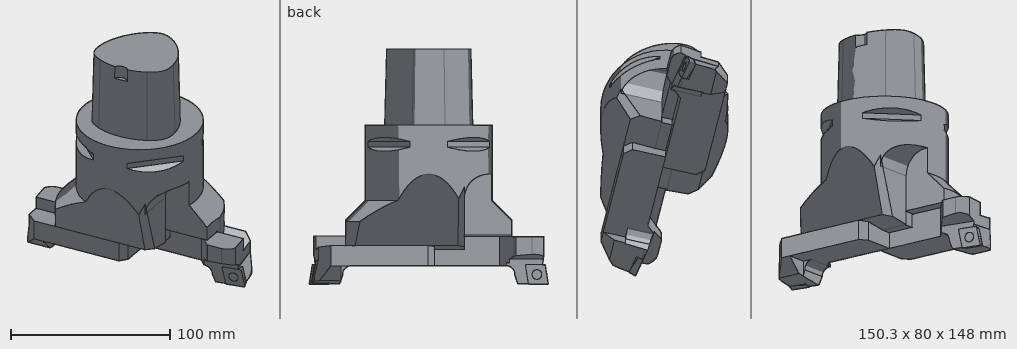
import cadquery as cq
import math


SHANK_HEIGHT = 48.0
SHANK_BASE_RADIUS = 27.7
SHANK_TOP_RADIUS = 26.5
LOBE_HEIGHT = 2.2
LOBE_HALF_ANGLE = 35
KEYWAY_RADIUS = 5.2
KEYWAY_DEPTH = 8.1
KEYWAY_OFFSET = 26.8

FLANGE_DIAMETER = 80.0
FLANGE_RADIUS = FLANGE_DIAMETER / 2
CONE_TOP = -47.2
SKIRT_RADIUS = 53.1
SKIRT_TOP = CONE_TOP - (SKIRT_RADIUS - FLANGE_RADIUS)
SKIRT_FLAT = 52.2
SIDE_TOP = -30.7
BODY_HALF_WIDTH = 26.2

GROOVE_DISTANCE = 35.4
GROOVE_MIDDLE = -12.0
GROOVE_FLOOR_WIDTH = 3.6
GROOVE_MOUTH_WIDTH = 8.7
GROOVE_COUNT = 4

POCKET_FLOOR = 22.3
POCKET_WALL = 6.9
POCKET_RADIUS = 15.3
POCKET_CHAMFER_WIDTH = 4.0
POCKET_CHAMFER_DEPTH = 5.0
POCKET_CHAMFER_SLOPE = 0.33

JOINT_EDGE = -75.6
JOINT_MIDDLE = -78.0
NOTCH_TOP = -69.0
NOTCH_END = 21.6

BAR_BOTTOM = -88.3
BAR_END = 3.6
BAR_END_CHAMFER_X = 4.0
BAR_END_CHAMFER_Y = 4.8
HEAD_SIDE = 11.4
HEAD_CORNER_LENGTH = 7.3
HEAD_CORNER_DEPTH = 5.0
HEAD_SHOULDER_START_X = -44.4
HEAD_SHOULDER_X = -54.9
HEAD_BEVEL_X = 1.2
HEAD_BEVEL_Y = 0.9
HEAD_OUTER_X = -72.3
HEAD_REAR_X = -69.3
HEAD_REAR_Y = -18.5
REAR_CORNER_X = -61.5
LEG_TOP = -85.8
LEG_TOP_SLOPE = -0.09
LEG_BOTTOM = -99.6
LEG_REAR_INNER_X = -55.0
LEG_FOOT_X = -74.1
LEG_FOOT_REAR_X = -72.9
LEG_SWEEP_RADIUS = 73.5
HEEL_WIDTH = 19.6
HEEL_Z = -97.6
ARCH_START_X = -48.7
ARCH_END_X = -54.0
ARCH_END_Z = -94.2
ARCH_FOOT_X = -56.0
ARCH_REAR_Y = -12.0
GULLET_TOP = -84.0
GULLET_ROOF_SLOPE = 0.44

INSERT_THICKNESS = 4.6
INSERT_CLEARANCE = 7
INSERT_TILT = 5
INSERT_YAW = 10
INSERT_BOTTOM = -100.0
INSERT_TIP_X = -75.5
INSERT_SIDE = 12.7
INSERT_CORNER = 80
INSERT_NOSE_RADIUS = 0.7
SCREW_DIAMETER = 6.1

CARTRIDGES = [(0, -70.0, 2.8), (180, -69.5, 0.6)]

FAR = 90.0


def turned(body, angle):
    return body.rotate((0, 0, 0), (0, 0, 1), angle)


def prism_along_x(points, x_min, x_max):
    """Prism whose section is given as (y, z) points."""
    return cq.Workplane("YZ", origin=(x_min, 0, 0)).polyline(points).close().extrude(x_max - x_min)


def block(x_min, x_max, y_min, y_max, z_min, z_max):
    size = (x_max - x_min, y_max - y_min, z_max - z_min)
    return cq.Workplane("XY").box(*size, centered=False).translate((x_min, y_min, z_min))


def polygon_point(radius, angle):
    """Point of the three-lobed curve where the outward normal has the given angle in degrees."""
    normal = math.radians(angle)
    phase = 3 * math.radians(angle - 90)
    support = radius + LOBE_HEIGHT * math.cos(phase)
    slope = -3 * LOBE_HEIGHT * math.sin(phase)
    return (
        support * math.cos(normal) - slope * math.sin(normal),
        support * math.sin(normal) + slope * math.cos(normal),
    )


def polygon_wire(radius, height):
    """Three-lobed outline, split where each lobe meets the flatter stretch beside it."""
    spline_steps = 8
    edges = []
    for lobe in (90, 210, 330):
        breaks = (lobe - LOBE_HALF_ANGLE, lobe + LOBE_HALF_ANGLE, lobe + 120 - LOBE_HALF_ANGLE)
        for start, end in zip(breaks, breaks[1:]):
            angles = [start + (end - start) * i / spline_steps for i in range(spline_steps + 1)]
            points = [cq.Vector(*polygon_point(radius, a), height) for a in angles]
            edges.append(cq.Edge.makeSpline(points))
    return cq.Wire.assembleEdges(edges)


def make_shank():
    base = polygon_wire(SHANK_BASE_RADIUS, 0)
    top = polygon_wire(SHANK_TOP_RADIUS, SHANK_HEIGHT)
    shank = cq.Workplane(cq.Solid.makeLoft([base, top], True))
    keyway = (
        cq.Workplane("XY", origin=(0, -KEYWAY_OFFSET, SHANK_HEIGHT - KEYWAY_DEPTH))
        .circle(KEYWAY_RADIUS)
        .extrude(FAR)
    )
    return shank.cut(keyway)


def groove_cutter():
    floor = GROOVE_FLOOR_WIDTH / 2
    mouth = GROOVE_MOUTH_WIDTH / 2
    return (
        cq.Workplane("XZ", origin=(0, FAR / 2, 0))
        .moveTo(GROOVE_DISTANCE, GROOVE_MIDDLE - floor)
        .lineTo(FLANGE_RADIUS, GROOVE_MIDDLE - mouth)
        .lineTo(FAR, GROOVE_MIDDLE - mouth)
        .lineTo(FAR, GROOVE_MIDDLE + mouth)
        .lineTo(FLANGE_RADIUS, GROOVE_MIDDLE + mouth)
        .lineTo(GROOVE_DISTANCE, GROOVE_MIDDLE + floor)
        .close()
        .extrude(FAR)
    )


def pocket_cutter():
    """Chip pocket on the -X side, with a rounded roof and a chamfer beside the sloped side face."""
    roof_centre_x = -POCKET_FLOOR - POCKET_RADIUS
    roof_centre_z = SIDE_TOP - POCKET_RADIUS
    pocket = (
        cq.Workplane("XZ", origin=(0, FAR, 0))
        .moveTo(-POCKET_FLOOR, -FAR)
        .lineTo(-POCKET_FLOOR, roof_centre_z)
        .tangentArcPoint((roof_centre_x, SIDE_TOP), relative=False)
        .lineTo(-FAR, SIDE_TOP)
        .lineTo(-FAR, -FAR)
        .close()
        .extrude(FAR - POCKET_WALL)
    )
    corner = (-POCKET_FLOOR + POCKET_CHAMFER_WIDTH, BODY_HALF_WIDTH, JOINT_EDGE)
    chamfer_plane = cq.Plane(origin=corner, xDir=(-1, 0, 0), normal=(0, POCKET_CHAMFER_SLOPE, 1))
    chamfer = (
        cq.Workplane(chamfer_plane)
        .polyline([
            (0, 0),
            (POCKET_CHAMFER_WIDTH, POCKET_CHAMFER_DEPTH),
            (POCKET_CHAMFER_WIDTH, -POCKET_CHAMFER_DEPTH),
            (0, -POCKET_CHAMFER_DEPTH),
        ])
        .close()
        .extrude(FAR / 2, both=True)
    )
    return pocket.union(chamfer)


def make_holder():
    body = (
        cq.Workplane("XZ")
        .polyline([
            (0, 0),
            (FLANGE_RADIUS, 0),
            (FLANGE_RADIUS, CONE_TOP),
            (SKIRT_RADIUS, SKIRT_TOP),
            (SKIRT_RADIUS, JOINT_MIDDLE),
            (0, JOINT_MIDDLE),
        ])
        .close()
        .revolve(360, (0, 0, 0), (0, 1, 0))
    )
    envelope = prism_along_x(
        [
            (-FLANGE_RADIUS, 0),
            (-FLANGE_RADIUS, SIDE_TOP),
            (-BODY_HALF_WIDTH, JOINT_EDGE),
            (-POCKET_WALL, JOINT_MIDDLE),
            (POCKET_WALL, JOINT_MIDDLE),
            (BODY_HALF_WIDTH, JOINT_EDGE),
            (FLANGE_RADIUS, SIDE_TOP),
            (FLANGE_RADIUS, 0),
        ],
        -SKIRT_FLAT,
        SKIRT_FLAT,
    )
    body = body.intersect(envelope)
    notch = block(-FAR, -NOTCH_END, -POCKET_WALL, POCKET_WALL, -FAR, NOTCH_TOP)
    for angle in (0, 180):
        body = body.cut(turned(pocket_cutter(), angle)).cut(turned(notch, angle))
    for i in range(GROOVE_COUNT):
        body = body.cut(turned(groove_cutter(), 45 + i * 360 / GROOVE_COUNT))
    return body.union(make_shank())


def yawed(body, cutting_face_y):
    """Turn about the vertical line through the cutting tip, so that the cutting face looks outward."""
    tip = (INSERT_TIP_X, cutting_face_y, 0)
    return body.rotate(tip, (INSERT_TIP_X, cutting_face_y, 1), INSERT_YAW)


def make_insert(cutting_face_y):
    """Rhombic insert on the -X side, with its cutting face toward +Y."""
    tilt = math.radians(INSERT_TILT)
    face = cq.Plane(
        origin=(0, cutting_face_y, GULLET_TOP),
        xDir=(1, 0, 0),
        normal=(0, -math.cos(tilt), math.sin(tilt)),
    )
    bottom = (INSERT_BOTTOM - GULLET_TOP) / math.cos(tilt)
    corner = math.radians(INSERT_CORNER)
    lean = INSERT_SIDE * math.cos(corner)
    rise = INSERT_SIDE * math.sin(corner)
    outline = [
        (INSERT_TIP_X, bottom),
        (INSERT_TIP_X + INSERT_SIDE, bottom),
        (INSERT_TIP_X + INSERT_SIDE + lean, bottom + rise),
        (INSERT_TIP_X + lean, bottom + rise),
    ]
    centre = (INSERT_TIP_X + (INSERT_SIDE + lean) / 2, bottom + rise / 2)
    profile = cq.Sketch().polygon(outline + outline[:1]).vertices().fillet(INSERT_NOSE_RADIUS)
    insert = cq.Workplane(face).placeSketch(profile).extrude(INSERT_THICKNESS, taper=INSERT_CLEARANCE)
    hole = cq.Workplane(face).center(*centre).circle(SCREW_DIAMETER / 2).extrude(INSERT_THICKNESS)
    return yawed(insert.cut(hole), cutting_face_y)


def leg_blank():
    """Foot of the cartridge, flaring outward from the head to the cutting edge."""
    def outline(height, slope, foot_x, rear_x, rear_y):
        points = [
            (ARCH_START_X, HEAD_SIDE),
            (foot_x, HEAD_SIDE),
            (rear_x, rear_y),
            (REAR_CORNER_X, -BODY_HALF_WIDTH),
            (ARCH_START_X, -BODY_HALF_WIDTH),
        ]
        return cq.Wire.makePolygon([cq.Vector(x, y, height + slope * y) for x, y in points], close=True)

    top = outline(LEG_TOP, LEG_TOP_SLOPE, HEAD_OUTER_X, HEAD_REAR_X, HEAD_REAR_Y)
    corner_slope = (HEAD_REAR_Y + BODY_HALF_WIDTH) / (HEAD_REAR_X - REAR_CORNER_X)
    foot_rear_y = HEAD_REAR_Y + corner_slope * (LEG_FOOT_REAR_X - HEAD_REAR_X)
    foot = outline(LEG_BOTTOM, 0, LEG_FOOT_X, LEG_FOOT_REAR_X, foot_rear_y)
    leg = cq.Workplane(cq.Solid.makeLoft([top, foot], True))
    sweep = cq.Workplane("XY", origin=(0, 0, LEG_BOTTOM)).circle(LEG_SWEEP_RADIUS).extrude(FAR)
    return leg.intersect(sweep)


def make_cartridge(head_top, cutting_face_y):
    """Cartridge on the -X side: a bar under the holder, a raised head and a leg for the insert."""
    bar_and_head = (
        cq.Workplane("XY", origin=(0, 0, BAR_BOTTOM))
        .moveTo(BAR_END, 0)
        .lineTo(HEAD_SHOULDER_START_X, 0)
        .lineTo(HEAD_SHOULDER_X + HEAD_BEVEL_X, HEAD_SIDE - HEAD_BEVEL_Y)
        .lineTo(HEAD_SHOULDER_X, HEAD_SIDE)
        .lineTo(HEAD_OUTER_X + HEAD_CORNER_LENGTH, HEAD_SIDE)
        .tangentArcPoint((HEAD_OUTER_X, HEAD_SIDE - HEAD_CORNER_DEPTH), relative=False)
        .lineTo(HEAD_REAR_X, HEAD_REAR_Y)
        .lineTo(REAR_CORNER_X, -BODY_HALF_WIDTH)
        .lineTo(BAR_END - BAR_END_CHAMFER_X, -BODY_HALF_WIDTH)
        .lineTo(BAR_END, -BODY_HALF_WIDTH + BAR_END_CHAMFER_Y)
        .close()
        .extrude(head_top - BAR_BOTTOM)
    )
    joint = prism_along_x(
        [
            (-BODY_HALF_WIDTH, JOINT_EDGE),
            (-POCKET_WALL, JOINT_MIDDLE),
            (-POCKET_WALL, 0),
            (-BODY_HALF_WIDTH, 0),
        ],
        -FAR,
        FAR,
    )
    below_leg_top = prism_along_x(
        [
            (-FAR, LEG_TOP - LEG_TOP_SLOPE * FAR),
            (FAR, LEG_TOP + LEG_TOP_SLOPE * FAR),
            (FAR, -2 * FAR),
            (-FAR, -2 * FAR),
        ],
        -FAR,
        LEG_REAR_INNER_X,
    )
    inner_top = block(-NOTCH_END, FAR, -POCKET_WALL, FAR, JOINT_MIDDLE, 0)
    cartridge = bar_and_head.cut(joint).cut(inner_top)
    cartridge = cartridge.cut(below_leg_top).union(leg_blank())

    arch = (
        cq.Workplane("XZ", origin=(0, FAR, 0))
        .moveTo(FAR, BAR_BOTTOM)
        .lineTo(ARCH_START_X, BAR_BOTTOM)
        .tangentArcPoint((ARCH_END_X, ARCH_END_Z), relative=False)
        .lineTo(ARCH_FOOT_X, LEG_BOTTOM)
        .lineTo(FAR, LEG_BOTTOM)
        .close()
        .extrude(FAR - ARCH_REAR_Y)
    )
    arch_rear = block(LEG_REAR_INNER_X, FAR, -FAR, ARCH_REAR_Y, LEG_BOTTOM, BAR_BOTTOM)
    heel_relief = prism_along_x(
        [
            (-BODY_HALF_WIDTH, BAR_BOTTOM),
            (cutting_face_y - HEEL_WIDTH, HEEL_Z),
            (cutting_face_y, LEG_BOTTOM),
            (cutting_face_y, -FAR * 2),
            (-BODY_HALF_WIDTH, -FAR * 2),
        ],
        -FAR,
        FAR,
    )
    lean = (GULLET_TOP - LEG_BOTTOM) * math.tan(math.radians(INSERT_TILT))
    gullet_mouth = 2 * HEAD_SIDE
    gullet = prism_along_x(
        [
            (gullet_mouth, GULLET_TOP + GULLET_ROOF_SLOPE * (gullet_mouth - cutting_face_y)),
            (cutting_face_y, GULLET_TOP),
            (cutting_face_y - lean, LEG_BOTTOM),
            (gullet_mouth, LEG_BOTTOM),
        ],
        -FAR,
        0,
    )
    gullet = yawed(gullet, cutting_face_y)
    return cartridge.cut(arch).cut(arch_rear).cut(heel_relief).cut(gullet)


holder = make_holder()
bodies = [holder.val()]
for angle, head_top, cutting_face_y in CARTRIDGES:
    insert = make_insert(cutting_face_y)
    cartridge = make_cartridge(head_top, cutting_face_y).cut(insert)
    bodies.append(turned(cartridge, angle).val())
    bodies.append(turned(insert, angle).val())

result = cq.Compound.makeCompound(bodies)